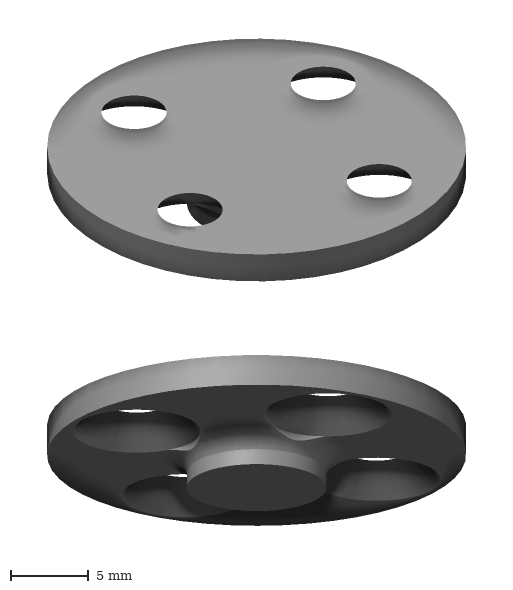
import cadquery as cq
import math

disc_diameter = 27.0
disc_thickness = 2.02

boss_diameter = 9.0
boss_height = 2.21
flare_height = 1.2
flare_radius = 1.5

hole_count = 4
hole_top_diameter = 4.18
hole_half_angle = 45.0
hole_circle_radius = 9.0
first_hole_angle = 9.9


def make_flanged_boss():
    """Revolve the half section of the disc, the flare and the boss."""
    boss_radius = boss_diameter / 2
    disc_radius = disc_diameter / 2
    flare_angle = math.acos(1 - flare_height / flare_radius)
    flare_end = boss_radius + flare_radius * math.sin(flare_angle)
    flare_middle = (
        flare_end - flare_radius * math.sin(flare_angle / 2),
        -flare_radius * (1 - math.cos(flare_angle / 2)),
    )
    return (
        cq.Workplane("XZ")
        .moveTo(0, -boss_height)
        .lineTo(boss_radius, -boss_height)
        .lineTo(boss_radius, -flare_height)
        .threePointArc(flare_middle, (flare_end, 0))
        .lineTo(disc_radius, 0)
        .lineTo(disc_radius, disc_thickness)
        .lineTo(0, disc_thickness)
        .close()
        .revolve(360, (0, 0), (0, 1))
    )


def make_hole_cutter():
    """Revolve the cone through the disc and the straight clearance that trims the flare."""
    top_radius = hole_top_diameter / 2
    bottom_radius = top_radius + disc_thickness * math.tan(math.radians(hole_half_angle))
    return (
        cq.Workplane("XZ")
        .moveTo(0, -boss_height)
        .lineTo(bottom_radius, -boss_height)
        .lineTo(bottom_radius, 0)
        .lineTo(top_radius, disc_thickness)
        .lineTo(0, disc_thickness)
        .close()
        .revolve(360, (0, 0), (0, 1))
        .translate((hole_circle_radius, 0, 0))
    )


hole_cutter = make_hole_cutter()
result = make_flanged_boss()
for index in range(hole_count):
    hole_angle = first_hole_angle + index * 360 / hole_count
    result = result.cut(hole_cutter.rotate((0, 0, 0), (0, 0, 1), hole_angle))